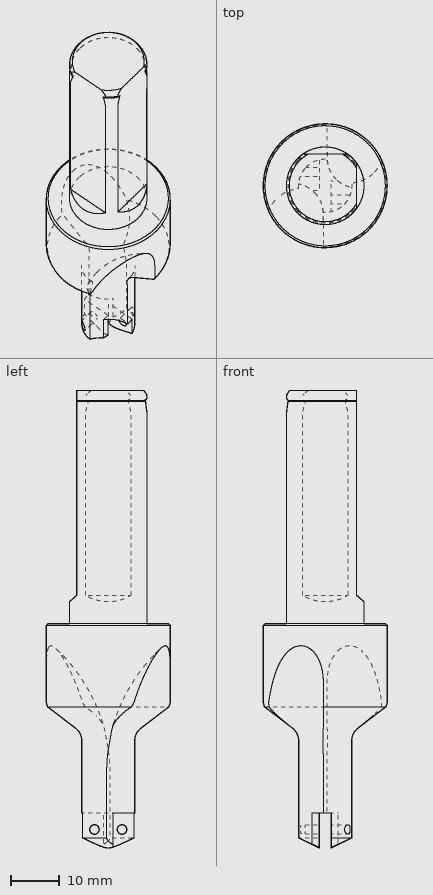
import cadquery as cq
import math

OVERALL_LENGTH = 93.59

SHANK_RADIUS = 15.875 / 2
FLAT_OFFSET = 6.45
FLAT_TOP_OF_RUNOUT = 51.7
FLAT_RUNOUT_RISE = 1.3
HEAD_TOP_RADIUS = 7.35
HEAD_CHAMFER_HEIGHT = 0.65
HEAD_SHOULDER_RADIUS = 7.75
BEAD_HEIGHT = 1.45
GROOVE_RADIUS = 7.55
GROOVE_WIDTH = 0.2
NECK_TOP_RADIUS = 7.65
NECK_HEIGHT = 2.1

COLLAR_RADIUS = 25.4 / 2
COLLAR_TOP = 45.9
COLLAR_TOP_CHAMFER = 0.4
COLLAR_BOTTOM = 29.75
COLLAR_EDGE_DROP = 0.85
COLLAR_EDGE_RADIUS = 12.45
COLLAR_CONE_SLOPE = 0.765

POST_RADIUS = 5.45
POST_FILLET = 3.175
TIP_SLOPE = 0.49

SLOT_HALF_WIDTH = 1.2
SLOT_HEIGHT = 7.15
STEP_REACH = 2.68
STEP_DEPTH_OFFSET = 0.95
SCREW_HOLE_DIAMETER = 1.9
SCREW_HOLE_OFFSET = 2.82
SCREW_HOLE_HEIGHT = 3.8

FLUTE_RADIUS = 6.35
FLUTE_WALL_OFFSET = 0.35
FLUTE_CENTRE_Y = -5.85
FLUTE_STRAIGHT_END = 15.0
FLUTE_BEND_RADIUS = 29.0
FLUTE_BEND_ANGLE = 80.0

CLEARANCE = 5.0


def half_turn(body):
    """Return a copy of a body turned 180 degrees about the tool axis."""
    return body.rotate((0, 0, 0), (0, 0, 1), 180)


def turned_body():
    """Revolve the full outline: post, collar, shank and head."""
    tip_rise = (POST_RADIUS - SLOT_HALF_WIDTH) * TIP_SLOPE
    tip_apex = -SLOT_HALF_WIDTH * TIP_SLOPE
    cone_top = COLLAR_BOTTOM - COLLAR_EDGE_DROP
    cone_root = cone_top - (COLLAR_EDGE_RADIUS - POST_RADIUS) * COLLAR_CONE_SLOPE

    cone_angle = math.atan(COLLAR_CONE_SLOPE)
    turn = math.pi / 2 - cone_angle
    tangent = POST_FILLET * math.tan(turn / 2)
    fillet_start = (POST_RADIUS, cone_root - tangent)
    fillet_end = (
        POST_RADIUS + tangent * math.cos(cone_angle),
        cone_root + tangent * math.sin(cone_angle),
    )
    fillet_middle = (
        POST_RADIUS + POST_FILLET * (1 - math.cos(turn / 2)),
        fillet_start[1] + POST_FILLET * math.sin(turn / 2),
    )

    shoulder = OVERALL_LENGTH - HEAD_CHAMFER_HEIGHT
    bead_bottom = shoulder - BEAD_HEIGHT
    neck_top = bead_bottom - GROOVE_WIDTH
    neck_bottom = neck_top - NECK_HEIGHT

    outline = (
        cq.Workplane("XZ")
        .moveTo(0, tip_apex)
        .lineTo(POST_RADIUS, tip_rise)
        .lineTo(*fillet_start)
        .threePointArc(fillet_middle, fillet_end)
        .lineTo(COLLAR_EDGE_RADIUS, cone_top)
        .lineTo(COLLAR_RADIUS, COLLAR_BOTTOM)
        .lineTo(COLLAR_RADIUS, COLLAR_TOP - COLLAR_TOP_CHAMFER)
        .lineTo(COLLAR_RADIUS - COLLAR_TOP_CHAMFER, COLLAR_TOP)
        .lineTo(SHANK_RADIUS, COLLAR_TOP)
        .lineTo(SHANK_RADIUS, neck_bottom)
        .lineTo(NECK_TOP_RADIUS, neck_top)
        .lineTo(GROOVE_RADIUS, bead_bottom)
        .threePointArc(
            (SHANK_RADIUS, (bead_bottom + shoulder) / 2),
            (HEAD_SHOULDER_RADIUS, shoulder),
        )
        .lineTo(HEAD_TOP_RADIUS, OVERALL_LENGTH)
        .lineTo(0, OVERALL_LENGTH)
        .close()
    )
    return outline.revolve(360, (0, 0, 0), (0, 1, 0))


def flat_cutter():
    """Material outside the +X flat, ending below in a sloped run-out."""
    outer = SHANK_RADIUS + CLEARANCE
    slope = FLAT_RUNOUT_RISE / (SHANK_RADIUS - FLAT_OFFSET)
    top = OVERALL_LENGTH + CLEARANCE
    return (
        cq.Workplane("XZ")
        .moveTo(FLAT_OFFSET, top)
        .lineTo(FLAT_OFFSET, FLAT_TOP_OF_RUNOUT)
        .lineTo(SHANK_RADIUS, FLAT_TOP_OF_RUNOUT - FLAT_RUNOUT_RISE)
        .lineTo(outer, FLAT_TOP_OF_RUNOUT - (outer - FLAT_OFFSET) * slope)
        .lineTo(outer, top)
        .close()
        .extrude(SHANK_RADIUS + CLEARANCE, both=True)
    )


def flute_section():
    """U-shaped channel section, open toward -Y, at the end of the straight run."""
    wall_x = -FLUTE_WALL_OFFSET
    centre_x = wall_x - FLUTE_RADIUS
    far_x = centre_x - FLUTE_RADIUS
    open_y = -(COLLAR_RADIUS + CLEARANCE)
    return (
        cq.Workplane("XY", origin=(0, 0, FLUTE_STRAIGHT_END))
        .moveTo(wall_x, open_y)
        .lineTo(wall_x, FLUTE_CENTRE_Y)
        .threePointArc((centre_x, FLUTE_CENTRE_Y + FLUTE_RADIUS), (far_x, FLUTE_CENTRE_Y))
        .lineTo(far_x, open_y)
        .close()
    )


def flute_cutter():
    """Straight run down past the tip plus a bend that leaves through the collar."""
    straight = flute_section().extrude(-(FLUTE_STRAIGHT_END + CLEARANCE))
    bend_axis_y = FLUTE_CENTRE_Y - FLUTE_BEND_RADIUS
    bend = flute_section().revolve(FLUTE_BEND_ANGLE, (0, bend_axis_y, 0), (1, bend_axis_y, 0))
    return straight.union(bend)


def slot_cutter():
    """Slot for the insert, right across the post."""
    length = 2 * (POST_RADIUS + CLEARANCE)
    height = SLOT_HEIGHT + CLEARANCE
    return (
        cq.Workplane("XY", origin=(0, 0, SLOT_HEIGHT))
        .rect(2 * SLOT_HALF_WIDTH, length)
        .extrude(-height)
    )


def slot_step_cutter():
    """Step that widens the slot on the flute side of one prong."""
    depth = POST_RADIUS + CLEARANCE - STEP_DEPTH_OFFSET
    return (
        cq.Workplane("XY", origin=(0, 0, SLOT_HEIGHT))
        .moveTo(0, -STEP_DEPTH_OFFSET)
        .rect(-STEP_REACH, -depth, centered=False)
        .extrude(-(SLOT_HEIGHT + CLEARANCE))
    )


def screw_hole_cutter():
    """Two cross holes along X, one through each prong."""
    return (
        cq.Workplane("YZ")
        .pushPoints([(side * SCREW_HOLE_OFFSET, SCREW_HOLE_HEIGHT) for side in (-1, 1)])
        .circle(SCREW_HOLE_DIAMETER / 2)
        .extrude(POST_RADIUS + CLEARANCE, both=True)
    )


result = turned_body()

for flat_angle in (0, 90):
    result = result.cut(flat_cutter().rotate((0, 0, 0), (0, 0, 1), flat_angle))

for cutter in (flute_cutter(), slot_step_cutter()):
    result = result.cut(cutter).cut(half_turn(cutter))

result = result.cut(slot_cutter()).cut(screw_hole_cutter())